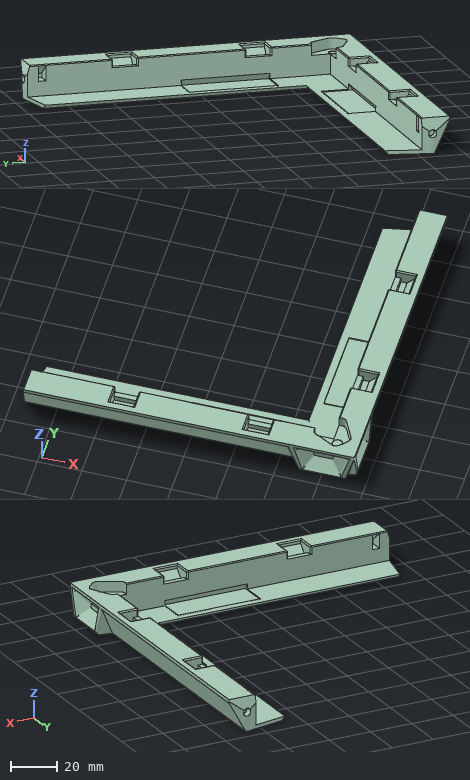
import cadquery as cq
import math


leg_length = 149.7
height = 15.7
flange_width = 28.5
flange_thickness = 1.8
flange_bevel = 1.5
wall_inner = 12.7
wall_band_bottom = 14.0
slope_foot = 7.3
edge_break = 0.5

ridge_y = 8.1
ridge_z = 8.8
ridge_overshoot = 0.1
side_slope = 0.2
top_slope = 0.27
tip_hole_diameter = 3.5
tip_hole_depth = 3.6

slot_width = 3.3
slot_from_tip = 7.3
slot_bottom = 8.4
slot_top = 15.3
slot_back_top = 10.3
slot_back_y = 6.6

window_places = (45.0, 105.1)
window_width = 10.8
window_back = 3.6
window_slope_top = 13.8
groove_floor = 9.6
groove_back = 7.5
groove_front = 10.2
window_sill = 12.0
window_edge_break = 0.6

label_start = 39.8
label_length = 40.0
label_edge = 24.9
label_depth = 0.5
label_groove_height = 4.2
label_groove_depth = 2.0

end_lean = 0.3
pad_far_lean = 0.4
pad_centre = 14.5
pad_half_bottom = 10.0
pad_top = 14.7
pad_depth = 9.0
pad_draft = 10.0
pad_bevel_height = 1.3
pad_bevel_depth = 1.2
pad_edge_round = 1.0
pocket_centre = 14.7
pocket_half_bottom = 8.7
pocket_bottom = 1.5
pocket_top = 14.2
pocket_rim = 0.9
pocket_floor_centre = 15.1
pocket_floor_half_bottom = 4.0
pocket_floor_bottom = 6.7
pocket_floor_top = 9.0
pocket_depth = 4.8
pocket_corner_round = 0.9

corner_floor = 10.8
corner_reach = 21.1
corner_arm_width = 9.7
corner_nose = 3.9
corner_round = 3.0
pivot_centre = 10.5
pivot_diameter = 4.6
pivot_mark_depth = 0.1
corner_edge_round = 1.0


def along_leg(profile, start, length):
    """Extrude a (y, z) profile toward -X, from x = -start."""
    plane = cq.Workplane("YZ", origin=(-start, 0, 0))
    return plane.polyline(profile).close().extrude(-length)


def between_outlines(near, near_y, far, far_y):
    """Solid between two (x, z) outlines that lie at two depths from the outer side."""
    step = far_y - near_y
    return (
        cq.Workplane("XZ", origin=(0, near_y, 0))
        .polyline(near).close()
        .workplane(offset=-step)
        .polyline(far).close()
        .loft(ruled=True)
    )


def trapezoid(centre, half_bottom, bottom, top, far_lean=end_lean):
    """(x, z) outline that widens upward; its far end, at lower x, may lean differently."""
    rise = top - bottom
    return [
        (-centre - half_bottom, bottom),
        (-centre + half_bottom, bottom),
        (-centre + half_bottom + end_lean * rise, top),
        (-centre - half_bottom - far_lean * rise, top),
    ]


def leg_bar():
    profile = [
        (slope_foot, 0),
        (flange_width - flange_bevel, 0),
        (flange_width, flange_thickness),
        (wall_inner, flange_thickness),
        (wall_inner, height - edge_break),
        (wall_inner - edge_break, height),
        (0, height),
        (0, wall_band_bottom),
    ]
    return along_leg(profile, 0, leg_length)


def tip_envelope():
    """Space inside the sloping tip facets: two fall away sideways, one falls away upward."""
    ridge_x = -leg_length - ridge_overshoot
    reach = flange_width
    plan = [
        (0, -reach),
        (ridge_x + side_slope * (reach + ridge_y), -reach),
        (ridge_x, ridge_y),
        (ridge_x + side_slope * (2 * reach - ridge_y), 2 * reach),
        (0, 2 * reach),
    ]
    side = [
        (0, 0),
        (ridge_x, 0),
        (ridge_x, ridge_z),
        (ridge_x + top_slope * (height - ridge_z), height),
        (0, height),
    ]
    sides = cq.Workplane("XY").polyline(plan).close().extrude(height)
    upper = cq.Workplane("XZ", origin=(0, -reach, 0)).polyline(side).close().extrude(-3 * reach)
    return sides.intersect(upper)


def tip_hole():
    plane = cq.Workplane("YZ", origin=(-leg_length, ridge_y, ridge_z))
    return plane.circle(tip_hole_diameter / 2).extrude(tip_hole_depth)


def tip_slot():
    profile = [
        (wall_inner, slot_bottom),
        (wall_inner, slot_top),
        (slot_back_y, slot_back_top),
        (slot_back_y, slot_bottom),
    ]
    return along_leg(profile, leg_length - slot_from_tip - slot_width / 2, slot_width)


def window(centre):
    profile = [
        (wall_inner, height),
        (wall_inner, window_sill),
        (groove_front, window_sill),
        (groove_front, groove_floor),
        (groove_back, groove_floor),
        (window_back, window_slope_top),
        (window_back, height),
    ]
    opening = along_leg(profile, centre - window_width / 2, window_width)

    span = wall_inner - window_back
    top_flare = (
        cq.Workplane("XY", origin=(-centre, wall_inner, height - window_edge_break))
        .rect(window_width, 2 * span)
        .workplane(offset=window_edge_break)
        .rect(window_width + 2 * window_edge_break, 2 * (span + window_edge_break))
        .loft(ruled=True)
    )
    half = window_width / 2
    inner_flare = (
        cq.Workplane("XY", origin=(-centre, wall_inner, window_sill))
        .polyline([
            (-half, -window_edge_break),
            (half, -window_edge_break),
            (half + window_edge_break, 0),
            (-half - window_edge_break, 0),
        ])
        .close()
        .extrude(height - window_sill)
    )
    return opening.union(top_flare).union(inner_flare)


def label_recess():
    profile = [
        (label_edge, flange_thickness),
        (label_edge, flange_thickness - label_depth),
        (wall_inner - label_groove_depth, flange_thickness - label_depth),
        (wall_inner, label_groove_height),
        (wall_inner, flange_thickness),
    ]
    return along_leg(profile, label_start, label_length)


def pad():
    """Drafted pad that fills out the sloping outer face near the corner."""
    spread = pad_depth * math.tan(math.radians(pad_draft))
    face = trapezoid(pad_centre, pad_half_bottom, 0, pad_top, pad_far_lean)
    base = trapezoid(pad_centre, pad_half_bottom + spread, 0, pad_top, pad_far_lean)
    body = between_outlines(face, 0, base, pad_depth)

    edge_x = -pad_centre - pad_half_bottom - pad_far_lean * pad_top / 2
    front_edge = cq.selectors.NearestToPointSelector((edge_x, 0, pad_top / 2))
    body = body.edges(front_edge).fillet(pad_edge_round)
    bevel = along_leg([(0, 0), (pad_bevel_depth, 0), (0, pad_bevel_height)], 0, 2 * flange_width)

    inside = (
        cq.Workplane("XY", origin=(-2 * flange_width, 0, 0))
        .box(2 * flange_width, pad_depth, height, centered=False)
    )
    return body.cut(bevel).intersect(inside)


def pad_pocket():
    throat_half_bottom = pocket_half_bottom - pocket_rim + end_lean * pocket_rim
    mouth = trapezoid(pocket_centre, pocket_half_bottom, pocket_bottom, pocket_top)
    throat = trapezoid(
        pocket_centre, throat_half_bottom, pocket_bottom + pocket_rim, pocket_top - pocket_rim
    )
    floor = trapezoid(
        pocket_floor_centre, pocket_floor_half_bottom, pocket_floor_bottom, pocket_floor_top
    )
    rim = between_outlines(mouth, 0, throat, pocket_rim)
    funnel = between_outlines(throat, pocket_rim, floor, pocket_depth)
    funnel = funnel.edges("not #Y").fillet(pocket_corner_round)
    return rim.union(funnel)


def corner_rounding():
    """Material to remove so that the vertical edge at the outer corner is round."""
    r = corner_edge_round
    block = cq.Workplane("XY", origin=(-r, 0, 0)).rect(r, r, centered=False).extrude(height)
    return block.cut(cq.Workplane("XY", origin=(-r, r, 0)).circle(r).extrude(height))


def mitre_half():
    far = leg_length + flange_width
    return cq.Workplane("XY").polyline([(0, 0), (-far, far), (-far, 0)]).close().extrude(height)


def corner_recess():
    rounded_points = [
        (-corner_arm_width, corner_reach),
        (-corner_nose, corner_arm_width),
        (-corner_arm_width, corner_nose),
        (-corner_reach, corner_arm_width),
    ]
    sharp_points = [
        (-corner_reach, wall_inner),
        (-wall_inner, wall_inner),
        (-wall_inner, corner_reach),
    ]
    pocket = (
        cq.Workplane("XY", origin=(0, 0, corner_floor))
        .polyline(rounded_points + sharp_points).close()
        .extrude(height - corner_floor)
    )
    for x, y in rounded_points:
        corner = cq.selectors.NearestToPointSelector((x, y, (corner_floor + height) / 2))
        pocket = pocket.edges("|Z").edges(corner).fillet(corner_round)
    pivot_mark = (
        cq.Workplane("XY", origin=(-pivot_centre, pivot_centre, corner_floor))
        .circle(pivot_diameter / 2)
        .extrude(-pivot_mark_depth)
    )
    return pocket.union(pivot_mark)


def mirrored(body):
    """The same body on the other leg."""
    return body.mirror((1, 1, 0), (0, 0, 0))


leg = leg_bar().intersect(mitre_half()).intersect(tip_envelope())
leg = leg.cut(tip_hole()).cut(tip_slot()).cut(label_recess())
for place in window_places:
    leg = leg.cut(window(place))

result = leg.union(mirrored(leg)).union(pad()).union(mirrored(pad()))
result = result.cut(pad_pocket()).cut(mirrored(pad_pocket()))
result = result.cut(corner_recess()).cut(corner_rounding())